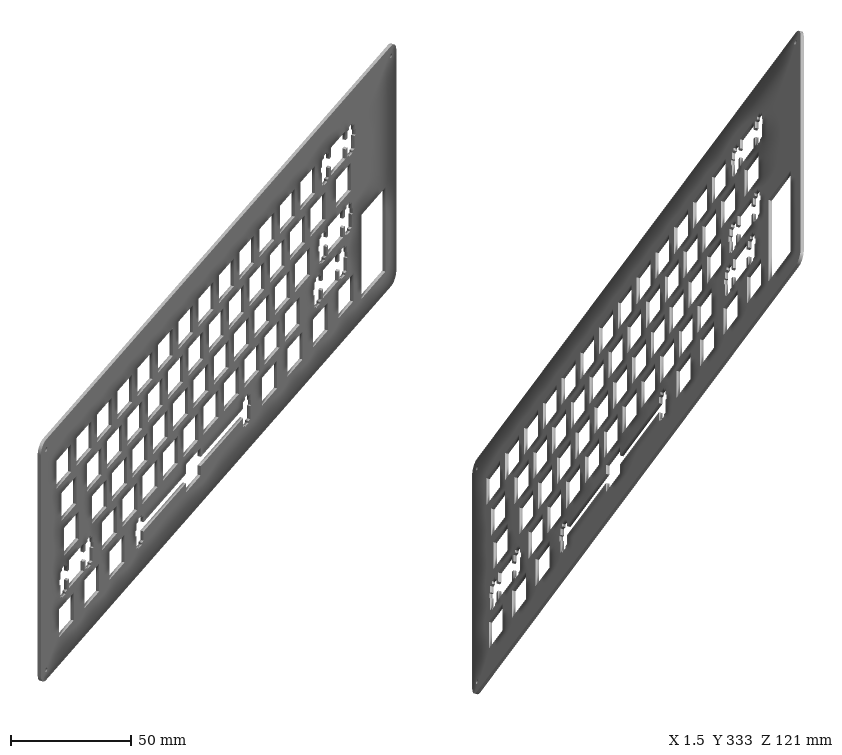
import cadquery as cq

PLATE_THICKNESS = 1.5
PLATE_LENGTH = 333.0
PLATE_HEIGHT = 121.0
CORNER_RADIUS = 5.0

ROW_UNITS = 15
FIELD_LENGTH = 285.7
KEY_UNIT = FIELD_LENGTH / ROW_UNITS
MIDDLE_ROW_Z = -1.3
SWITCH_SIZE = 14.0

SPACEBAR_WIDTH = 6.25
BOTTOM_KEY_WIDTH = 1.25
KEYS_BEFORE_SPACEBAR = 4
KEYS_AFTER_SPACEBAR = 3
ROWS = [
    [2] + [1] * 13,
    [1.5] + [1] * 12 + [1.5],
    [2.25] + [1] * 11 + [1.75],
    [2.75] + [1] * 10 + [2.25],
    [BOTTOM_KEY_WIDTH] * KEYS_BEFORE_SPACEBAR
    + [SPACEBAR_WIDTH]
    + [BOTTOM_KEY_WIDTH] * KEYS_AFTER_SPACEBAR,
]

SPACEBAR_Y = -23.5
UNITS_BEFORE_SPACEBAR = KEYS_BEFORE_SPACEBAR * BOTTOM_KEY_WIDTH
FIELD_START_Y = SPACEBAR_Y + (UNITS_BEFORE_SPACEBAR + SPACEBAR_WIDTH / 2) * KEY_UNIT

STABILIZED_WIDTH = 2
STABILIZER_SPREAD = 23.5
SPACEBAR_SPREAD = 100.0
CHANNEL_HEIGHT = 4.5
HOUSING_WIDTH = 6.5
HOUSING_TOP = 5.5
HOUSING_BOTTOM = -7.0
CLIP_WIDTH = 3.3
CLIP_TOP = 7.0
CLIP_BOTTOM = -8.0
WIRE_NOTCH_DEPTH = 0.85
WIRE_NOTCH_TOP = CHANNEL_HEIGHT / 2
WIRE_NOTCH_BOTTOM = -0.5

WINDOW_LENGTH = 22.3
WINDOW_HEIGHT = 42.3
WINDOW_Y = 145.2
WINDOW_Z = -28.5

SCREW_DIAMETER = 2.0
SCREW_INSET = 5.0


def cutter(y_min, y_max, z_min, z_max):
    """Box through the plate thickness, given its Y and Z limits."""
    return cq.Workplane("XY").box(
        PLATE_THICKNESS, y_max - y_min, z_max - z_min
    ).translate((0, (y_min + y_max) / 2, (z_min + z_max) / 2))


def centered_cutter(y, z, length, height):
    """Box through the plate thickness, given its center and size."""
    return cutter(y - length / 2, y + length / 2, z - height / 2, z + height / 2)


def stabilizer_housing(y, z, outward):
    """Housing cutout with clip notches and a wire notch on the outward side (+1 or -1 along Y)."""
    half_width = HOUSING_WIDTH / 2
    half_clip = CLIP_WIDTH / 2
    notch_edge = y + outward * (half_width + WIRE_NOTCH_DEPTH)
    housing = cutter(y - half_width, y + half_width, z + HOUSING_BOTTOM, z + HOUSING_TOP)
    clips = cutter(y - half_clip, y + half_clip, z + CLIP_BOTTOM, z + CLIP_TOP)
    wire_notch = cutter(
        min(y, notch_edge), max(y, notch_edge), z + WIRE_NOTCH_BOTTOM, z + WIRE_NOTCH_TOP
    )
    return housing.union(clips).union(wire_notch)


def key_cutout(y, z, width):
    """Switch opening, with a stabilizer on either side for wide keys."""
    cutout = centered_cutter(y, z, SWITCH_SIZE, SWITCH_SIZE)
    if width < STABILIZED_WIDTH:
        return cutout
    spread = SPACEBAR_SPREAD if width == SPACEBAR_WIDTH else STABILIZER_SPREAD
    cutout = cutout.union(centered_cutter(y, z, spread, CHANNEL_HEIGHT))
    for side in (1, -1):
        cutout = cutout.union(stabilizer_housing(y + side * spread / 2, z, side))
    return cutout


plate = (
    cq.Workplane("XY")
    .box(PLATE_THICKNESS, PLATE_LENGTH, PLATE_HEIGHT)
    .edges("|X")
    .fillet(CORNER_RADIUS)
)

key_cutouts = []
for row_index, row in enumerate(ROWS):
    row_z = MIDDLE_ROW_Z + (len(ROWS) // 2 - row_index) * KEY_UNIT
    key_start_y = FIELD_START_Y
    for key_width in row:
        key_y = key_start_y - key_width * KEY_UNIT / 2
        key_cutouts.append(key_cutout(key_y, row_z, key_width).val())
        key_start_y -= key_width * KEY_UNIT
plate = plate.cut(cq.Workplane(cq.Compound.makeCompound(key_cutouts)))

plate = plate.cut(centered_cutter(WINDOW_Y, WINDOW_Z, WINDOW_LENGTH, WINDOW_HEIGHT))

screw_y = PLATE_LENGTH / 2 - SCREW_INSET
screw_z = PLATE_HEIGHT / 2 - SCREW_INSET
screw_holes = (
    cq.Workplane("YZ")
    .pushPoints([(screw_y, screw_z), (-screw_y, screw_z), (-screw_y, -screw_z)])
    .circle(SCREW_DIAMETER / 2)
    .extrude(PLATE_THICKNESS / 2, both=True)
)
plate = plate.cut(screw_holes)

result = plate